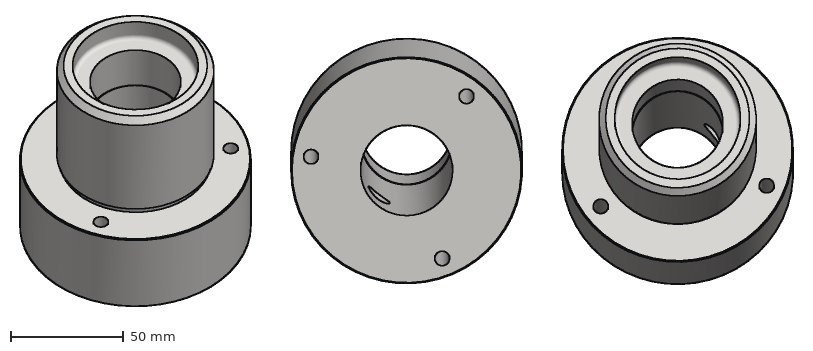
import cadquery as cq

total_height = 100.0

flange_diameter = 103.0
flange_height = 42.0
flange_chamfer = 0.5

barrel_diameter = 70.0
barrel_chamfer = 3.0
neck_diameter = 68.0
neck_height = 3.0

bore_diameter = 40.5
relief_diameter = 41.0
relief_height = 68.0
counterbore_diameter = 56.0
counterbore_depth = 10.0
counterbore_floor_fillet = 2.0

bolt_hole_count = 3
bolt_hole_diameter = 6.6
bolt_circle_diameter = 86.0
first_bolt_angle = -90.0

port_diameter = 12.0
port_axis_height = flange_height / 2


def disc(diameter, height, base=0.0):
    """Upright cylinder on the part axis."""
    return cq.Workplane("XY").workplane(offset=base).circle(diameter / 2).extrude(height)


def make_flange():
    return disc(flange_diameter, flange_height).edges().chamfer(flange_chamfer)


def make_barrel():
    barrel_base = flange_height + neck_height
    neck = disc(neck_diameter, neck_height, flange_height)
    barrel = disc(barrel_diameter, total_height - barrel_base, barrel_base)
    return neck.union(barrel.faces(">Z").edges().chamfer(barrel_chamfer))


def make_bore():
    return disc(bore_diameter, total_height).union(disc(relief_diameter, relief_height))


def make_counterbore():
    """Counterbore cutter with its floor corner rounded."""
    cutter = disc(counterbore_diameter, counterbore_depth, total_height - counterbore_depth)
    return cutter.faces("<Z").edges().fillet(counterbore_floor_fillet)


def make_bolt_holes():
    return (
        cq.Workplane("XY")
        .polarArray(bolt_circle_diameter / 2, first_bolt_angle, 360, bolt_hole_count)
        .circle(bolt_hole_diameter / 2)
        .extrude(flange_height)
    )


def make_port():
    length = flange_diameter / 2
    start = cq.Vector(0, length, port_axis_height)
    inward = cq.Vector(0, -1, 0)
    return cq.Workplane(cq.Solid.makeCylinder(port_diameter / 2, length, start, inward))


body = make_flange().union(make_barrel())
body = body.cut(make_bore()).cut(make_counterbore())
result = body.cut(make_bolt_holes()).cut(make_port())